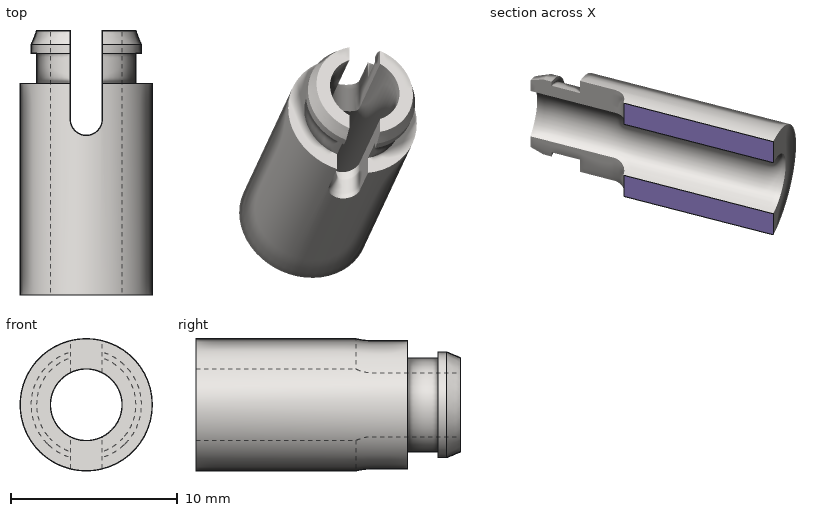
import cadquery as cq

total_length = 15.88
body_length = 12.7
body_diameter = 7.94
bore_diameter = 4.29
neck_diameter = 5.95
lip_diameter = 6.62
tip_diameter = 5.95
lip_length = 1.37
taper_length = 0.83
slot_width = 1.9
slot_depth = 6.29

lip_start = total_length - lip_length
taper_start = total_length - taper_length


def make_sleeve():
    """Revolve the half section of body, neck and snap lip around the bore."""
    half_section = [
        (bore_diameter / 2, 0),
        (body_diameter / 2, 0),
        (body_diameter / 2, body_length),
        (neck_diameter / 2, body_length),
        (neck_diameter / 2, lip_start),
        (lip_diameter / 2, lip_start),
        (lip_diameter / 2, taper_start),
        (tip_diameter / 2, total_length),
        (bore_diameter / 2, total_length),
    ]
    return cq.Workplane("XY").polyline(half_section).close().revolve(360, (0, 0, 0), (0, 1, 0))


def make_slot():
    """Round-bottomed slot, open at the snap end, cutting both walls along Z."""
    half_width = slot_width / 2
    slot_bottom = total_length - slot_depth
    round_centre = slot_bottom + half_width
    return (
        cq.Workplane("XY")
        .moveTo(-half_width, total_length)
        .lineTo(-half_width, round_centre)
        .threePointArc((0, slot_bottom), (half_width, round_centre))
        .lineTo(half_width, total_length)
        .close()
        .extrude(body_diameter, both=True)
    )


result = make_sleeve().cut(make_slot())